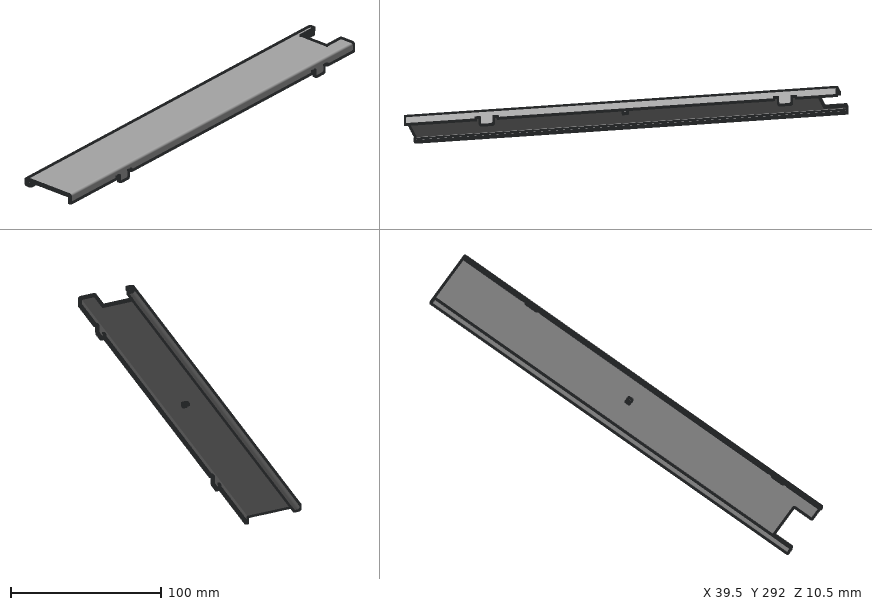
import cadquery as cq

length = 292.0
width = 39.5
height = 10.5
sheet = 1.6
bend_radius = 1.8
inner_radius = bend_radius - sheet

hook_height = 5.3
lip_width = 4.7
flange_height = 6.5

notch_left = 5.3
notch_right = 28.0
notch_depth = 14.5

tab_width = 9.3
tab_corner_radius = 1.5
relief_span = 15.0
relief_depth = 1.5
tab_centers = (55.2, length - 35.0)

lug_left = 21.0
lug_step = 22.8
lug_right = 24.8
lug_step_drop = 1.0
lug_drop = 1.8
lug_length = 3.0


def block(x_range, y_range, z_range):
    """Box given by its limits along each axis."""
    (x0, x1), (y0, y1), (z0, z1) = x_range, y_range, z_range
    return cq.Workplane("XY").box(x1 - x0, y1 - y0, z1 - z0, centered=False).translate((x0, y0, z0))


def folded_sheet():
    """Flat plate (top face at Z = 0) with a hook on the left and a flange on the right."""
    hook = block((0, lip_width), (0, length), (-hook_height, 0)).edges("|Y and <X").fillet(bend_radius)
    hook_gap = block((sheet, width), (0, length), (sheet - hook_height, -sheet))
    hook_gap = hook_gap.edges("|Y and <X").fillet(inner_radius)
    plate = block((bend_radius, width), (0, length), (-sheet, 0))
    flange = block((width - sheet, width), (0, length), (-flange_height, 0))
    angle = plate.union(flange).edges("|Y and >X and >Z").fillet(bend_radius)
    inner_corner = cq.selectors.NearestToPointSelector((width - sheet, length / 2, -sheet))
    angle = angle.edges(inner_corner).fillet(inner_radius)
    return hook.cut(hook_gap).union(angle)


def relief(center):
    """Cut in the lower edge of the flange around a tab."""
    y_range = (center - relief_span / 2, center + relief_span / 2)
    return block((width - sheet, width), y_range, (-flange_height, relief_depth - flange_height))


def tab(center):
    """Tab with rounded lower corners, reaching up to the top of its relief."""
    y_range = (center - tab_width / 2, center + tab_width / 2)
    body = block((width - sheet, width), y_range, (-height, relief_depth - flange_height))
    return body.edges("|X and <Z").fillet(tab_corner_radius)


def lug():
    """Stepped lug on the underside, midway along the plate."""
    y_range = ((length - lug_length) / 2, (length + lug_length) / 2)
    shallow = block((lug_left, lug_step), y_range, (-sheet - lug_step_drop, -sheet))
    deep = block((lug_step, lug_right), y_range, (-sheet - lug_drop, -sheet))
    return shallow.union(deep)


part = folded_sheet()
part = part.cut(block((notch_left, notch_right), (length - notch_depth, length), (-sheet, 0)))
for tab_center in tab_centers:
    part = part.cut(relief(tab_center)).union(tab(tab_center))
part = part.union(lug())

result = part.translate((-width / 2, -length / 2, 0))